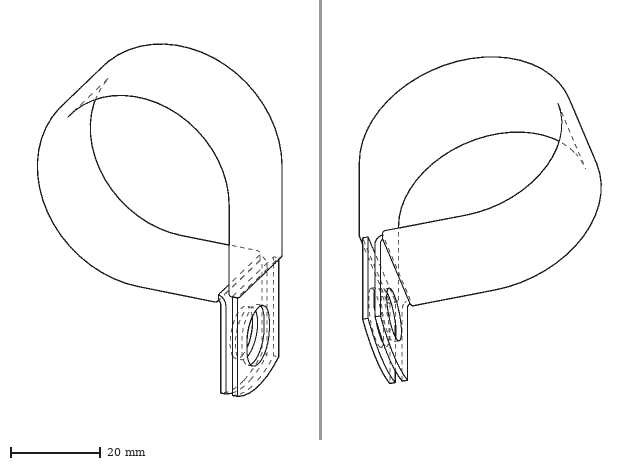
import cadquery as cq

overall_height = 75.0
outer_diameter = 50.05
outer_radius = outer_diameter / 2
cushion_thickness = 2.8
cushion_width = 23.8
edge_radius = 0.75
cushion_bottom = -22.9
cushion_right = 19.6

strap_thickness = cushion_thickness - 2 * edge_radius
strap_width = cushion_width - 2 * edge_radius
tab_bottom = outer_radius - overall_height
tab_tip_radius = 26.6
bent_tab_outer_x = 21.4
bend_outer_radius = 2.5

hole_diameter = 12.0
slot_length = 14.0
hole_z = -37.35

diagonal = 0.5**0.5
mid_radius = outer_radius - cushion_thickness / 2


def cushion_band():
    """Three-quarter ring with straight runs downward and to the right."""
    outer = outer_radius
    inner = outer_radius - cushion_thickness
    return (
        cq.Workplane("XZ")
        .moveTo(outer, cushion_bottom)
        .lineTo(outer, 0)
        .threePointArc((0, outer), (-outer, 0))
        .threePointArc((-outer * diagonal, -outer * diagonal), (0, -outer))
        .lineTo(cushion_right, -outer)
        .lineTo(cushion_right, -inner)
        .lineTo(0, -inner)
        .threePointArc((-inner * diagonal, -inner * diagonal), (-inner, 0))
        .threePointArc((0, inner), (inner, 0))
        .lineTo(inner, cushion_bottom)
        .close()
        .extrude(cushion_width / 2, both=True)
    )


def straight_tab():
    """Flat strap continuing down from the vertical cushion."""
    left = mid_radius - strap_thickness / 2
    return (
        cq.Workplane("XY")
        .box(strap_thickness, strap_width, -tab_bottom, centered=(False, True, False))
        .translate((left, 0, tab_bottom))
    )


def bent_tab():
    """Strap leaving the horizontal cushion and turning down."""
    top = -mid_radius + strap_thickness / 2
    bend_x = bent_tab_outer_x - bend_outer_radius
    bend_z = top - bend_outer_radius
    bend_inner_radius = bend_outer_radius - strap_thickness
    outer_mid = (bend_x + bend_outer_radius * diagonal, bend_z + bend_outer_radius * diagonal)
    inner_mid = (bend_x + bend_inner_radius * diagonal, bend_z + bend_inner_radius * diagonal)
    return (
        cq.Workplane("XZ")
        .moveTo(0, top)
        .lineTo(bend_x, top)
        .threePointArc(outer_mid, (bent_tab_outer_x, bend_z))
        .lineTo(bent_tab_outer_x, tab_bottom)
        .lineTo(bent_tab_outer_x - strap_thickness, tab_bottom)
        .lineTo(bent_tab_outer_x - strap_thickness, bend_z)
        .threePointArc(inner_mid, (bend_x, top - strap_thickness))
        .lineTo(0, top - strap_thickness)
        .close()
        .extrude(strap_width / 2, both=True)
    )


def tab_envelope():
    """Block with the arched lower tip shared by both tabs."""
    half_width = strap_width / 2
    tip_rise = tab_tip_radius - (tab_tip_radius**2 - half_width**2) ** 0.5
    corner_z = tab_bottom + tip_rise
    return (
        cq.Workplane("YZ")
        .moveTo(-half_width, 0)
        .lineTo(-half_width, corner_z)
        .threePointArc((0, tab_bottom), (half_width, corner_z))
        .lineTo(half_width, 0)
        .close()
        .extrude(outer_radius)
    )


def bolt_hole():
    """Round cutter along X for the bent tab."""
    return cq.Workplane("YZ").center(0, hole_z).circle(hole_diameter / 2).extrude(outer_radius)


def bolt_slot():
    """Vertical slot cutter along X for the straight tab."""
    return cq.Workplane("YZ").center(0, hole_z).slot2D(slot_length, hole_diameter, 90).extrude(outer_radius)


cushion = cushion_band()
rounded_edges = cushion.faces("|Y").edges()
for end_x, end_z in ((mid_radius, cushion_bottom), (cushion_right, -mid_radius)):
    end_face = cushion.faces(cq.NearestToPointSelector((end_x, 0, end_z)))
    rounded_edges = rounded_edges.add(end_face.edges("|Y"))
cushion = rounded_edges.fillet(edge_radius)
straight = straight_tab().cut(bolt_slot())
bent = bent_tab().cut(bolt_hole())
tabs = straight.union(bent).intersect(tab_envelope())

result = cushion.union(tabs)